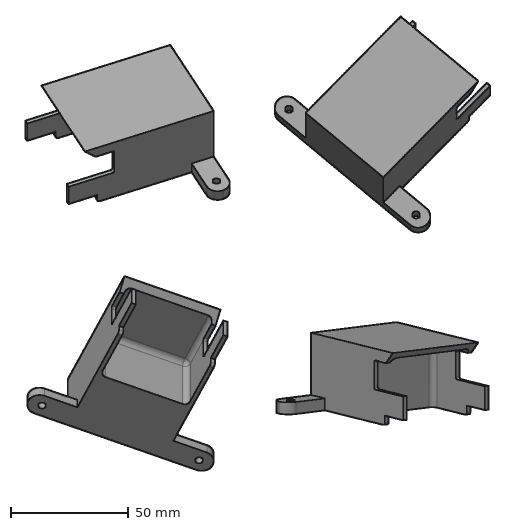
import cadquery as cq

body_width = 44.7
body_height = 32.15
roof_length = 60.35
wall = 2.0
roof_thickness = 2.9
cavity_radius = 2.5
rear_block_depth = 30.0

overall_length = 67.9
foot_length = 54.5
notch_back = 46.55
lip_height = 5.15
arm_top = 14.4
arm_bottom = 4.1
notch_radius = 0.95
foot_radius = 1.4

overall_width = 85.7
lug_width = 10.4
lug_thickness = 5.2
lug_end_radius = 5.15
hole_diameter = 3.3
hole_end_distance = 6.35

rear = overall_length / 2
notch_top = body_height - lip_height
lip_length = roof_length - lip_height


def make_hood():
    """Extrude the side profile across the body, then round its corners."""
    profile = [
        (0, 0),
        (foot_length, 0),
        (foot_length, arm_bottom),
        (overall_length, arm_bottom),
        (overall_length, arm_top),
        (notch_back, arm_top),
        (notch_back, notch_top),
        (lip_length, notch_top),
        (roof_length, body_height),
        (0, body_height),
    ]
    points = [(rear - forward, height) for forward, height in profile]
    hood = cq.Workplane("YZ").polyline(points).close().extrude(body_width / 2, both=True)

    notch_corners = [(0, rear - notch_back, height) for height in (arm_top, notch_top)]
    for corner in notch_corners:
        hood = hood.edges(cq.selectors.NearestToPointSelector(corner)).fillet(notch_radius)
    foot_corner = (0, rear - foot_length, 0)
    return hood.edges(cq.selectors.NearestToPointSelector(foot_corner)).fillet(foot_radius)


def make_cavity():
    """Inner space, rounded where its roof, rear and side faces meet."""
    block = cq.Workplane("XY").box(
        body_width - 2 * wall,
        overall_length,
        body_height - roof_thickness,
        centered=(True, True, False),
    )
    block = block.translate((0, -rear_block_depth, 0))
    rounded_edges = "(|Y and >Z) or (>Y and (not <Z))"
    return block.edges(rounded_edges).fillet(cavity_radius)


def make_lug_bar():
    """Round-ended bar across the rear whose ends form the two lugs."""
    return (
        cq.Workplane("XY")
        .center(0, rear - lug_width / 2)
        .rect(overall_width, lug_width)
        .extrude(lug_thickness)
        .edges("|Z")
        .fillet(lug_end_radius)
        .faces(">Z")
        .workplane(origin=(0, rear - lug_width / 2, 0))
        .rarray(overall_width - 2 * hole_end_distance, 0.9, 2, 1)
        .hole(hole_diameter)
    )


result = make_hood().union(make_lug_bar()).cut(make_cavity())